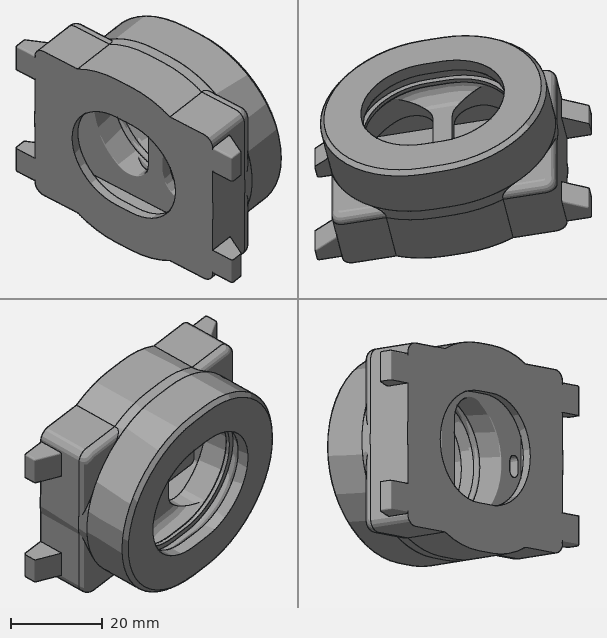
import cadquery as cq

center_offset = 2.15
outer_radius = 23.0

frame_end = 11.0
plate_end = 13.4
neck_end = 17.3
back_end = 24.45

plate_width = 49.9
plate_height = 40.55
plate_corner_radius = 2.5
plate_rear_radius = 1.95

window_radius = 12.4
window_edge_round = 0.7
window_lip = 2.45
frame_wall = 1.4
tab_tip_x = 30.5
tab_outer_z = 17.75
tab_inner_z = 11.1
tab_tip_depth = 3.1
tab_root_depth = 6.05
tab_round = 0.5

opening_radius = 15.0
opening_corner_radius = 5.35
opening_edge_round = 0.2
bar_rear_radius = neck_end - plate_end
neck_radius = 18.0
slot_x = 21.2
slot_width = 2.55
slot_length = 4.9

cap_chamfer = 1.0
lip_round = 0.6
lip_radius = opening_radius - lip_round
lip_end = 18.6
groove_radius = 15.6
groove_corner_radius = 1.2
seat_start = 19.8
seat_depth = 1.8
seat_taper = 45
seat_radius = groove_radius - seat_depth


def section(y):
    """Workplane across the Y axis at the given station."""
    return cq.Workplane("XZ", origin=(0, y, 0))


def obround(radius, start, end, taper=0):
    """Obround prism from one Y station to another; a taper narrows it towards the end."""
    profile = section(start).slot2D(2 * (radius + center_offset), 2 * radius)
    return profile.extrude(start - end, taper=taper)


def rectangle(width, height, start, end):
    """Rectangular block between two Y stations."""
    return section(start).rect(width, height).extrude(start - end)


def edges_within(body, radius, y):
    """Edges of a body that lie at one Y station inside an obround of the given radius."""
    margin = 0.05
    half_x = radius + center_offset + margin
    half_z = radius + margin
    box = cq.selectors.BoxSelector(
        (-half_x, y - margin, -half_z), (half_x, y + margin, half_z), boundingbox=True
    )
    return body.edges(box)


def make_tab():
    """Wedge-shaped snap tab at +X, +Z, rounded at its tip and on its outer side."""
    side_x = plate_width / 2
    root_x = side_x - frame_wall / 2
    slope = (tab_root_depth - tab_tip_depth) / (tab_tip_x - side_x)
    root_depth = tab_tip_depth + slope * (tab_tip_x - root_x)
    outline = [(root_x, 0), (tab_tip_x, 0), (tab_tip_x, tab_tip_depth), (root_x, root_depth)]
    tab = (
        cq.Workplane("XY", origin=(0, 0, tab_inner_z))
        .polyline(outline)
        .close()
        .extrude(tab_outer_z - tab_inner_z)
    )
    tip_edges = tab.faces(">X").edges("|Z").vals()
    outer_edges = tab.faces(">Z").edges("not <X").vals()
    return tab.newObject(tip_edges + outer_edges).fillet(tab_round)


def make_frame():
    """Front frame: plate and obround outline, open at the back, with a window and tabs."""
    plate = rectangle(plate_width, plate_height, 0, frame_end).edges("|Y").fillet(plate_corner_radius)
    frame = plate.union(obround(outer_radius, 0, frame_end))

    hollow_width = plate_width - 2 * frame_wall
    hollow_height = plate_height - 2 * frame_wall
    hollow = rectangle(hollow_width, hollow_height, window_lip, frame_end)
    frame = frame.cut(hollow.edges("|Y").fillet(plate_corner_radius - frame_wall))

    frame = frame.cut(obround(window_radius, 0, window_lip))
    frame = edges_within(frame, window_radius, window_lip).fillet(window_edge_round)

    upper_tab = make_tab()
    right_tabs = upper_tab.union(upper_tab.mirror("XY"))
    return frame.union(right_tabs).union(right_tabs.mirror("YZ"))


def make_opening():
    """D-shaped opening on the +X side of the bar."""
    reach = opening_radius + center_offset
    right_half = rectangle(reach, 2 * reach, frame_end, neck_end)
    right_half = right_half.translate((center_offset + reach / 2, 0, 0))
    opening = obround(opening_radius, frame_end, neck_end).intersect(right_half)
    return opening.edges("|Y and <X").fillet(opening_corner_radius)


def make_divider():
    """Middle plate whose neck holds a bar between two D-shaped openings."""
    plate = rectangle(plate_width, plate_height, 0, plate_end).edges("|Y").fillet(plate_corner_radius)
    plate = plate.faces(">Y").edges().fillet(plate_rear_radius)
    plate = plate.cut(rectangle(plate_width, plate_height, 0, frame_end))

    divider = plate.union(obround(outer_radius, frame_end, plate_end))
    divider = divider.union(obround(neck_radius, frame_end, neck_end))

    rear_bore = obround(opening_radius, plate_end, back_end)
    rear_bore = rear_bore.faces("<Y").edges().fillet(bar_rear_radius)
    divider = divider.cut(rear_bore)

    opening = make_opening()
    divider = divider.cut(opening).cut(opening.mirror("YZ"))
    divider = edges_within(divider, opening_radius, frame_end).fillet(opening_edge_round)

    slots = (
        section(frame_end)
        .pushPoints([(-slot_x, 0), (slot_x, 0)])
        .slot2D(slot_length, slot_width, 90)
        .extrude(frame_end - plate_end)
    )
    return divider.cut(slots)


def make_cap():
    """Rear cap: chamfered obround ring with a recess for the neck and a stepped bore."""
    cap = obround(outer_radius, plate_end, back_end).faces(">Y").edges().chamfer(cap_chamfer)
    cap = cap.cut(obround(neck_radius, plate_end, neck_end))
    cap = cap.cut(obround(seat_radius, neck_end, back_end))

    groove = obround(groove_radius, lip_end, seat_start)
    seat = obround(groove_radius, seat_start, seat_start + seat_depth, taper=seat_taper)
    core = groove.union(seat)
    core = edges_within(core, groove_radius, seat_start).fillet(groove_corner_radius)
    cap = cap.cut(core)

    cap = cap.cut(obround(lip_radius, neck_end, lip_end))
    return edges_within(cap, lip_radius, neck_end).fillet(lip_round)


frame = make_frame()
divider = make_divider()
cap = make_cap()
result = cq.Compound.makeCompound([frame.val(), divider.val(), cap.val()])